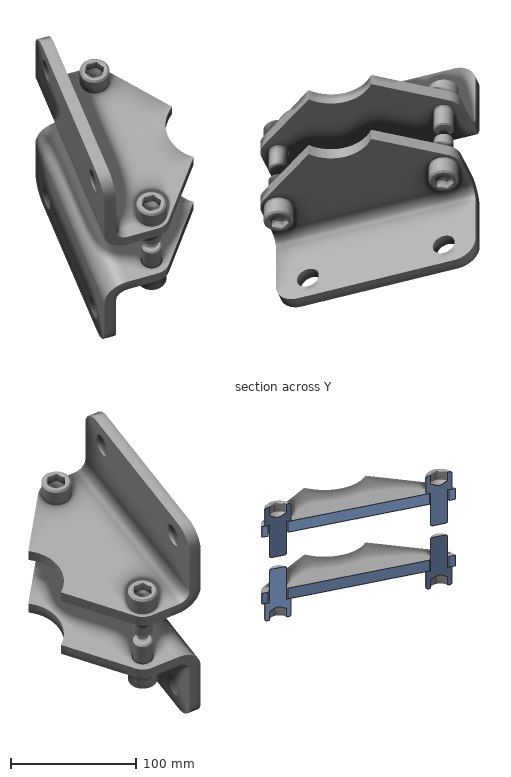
import cadquery as cq
import math

width = 169.0
depth = 95.3
total_height = 210.0
plate_thickness = 10.0
half_gap = 25.0
half_height = total_height / 2
bend_inner_radius = plate_thickness
bend_outer_radius = bend_inner_radius + plate_thickness

flange_corner_radius = 18.3
mount_hole_diameter = 18.5
mount_hole_x = 57.5
mount_hole_z = 85.0

screw_x = 70.0
screw_y = 45.0
ear_radius = width / 2 - screw_x
saddle_half_width = 26.5
saddle_bottom_y = 82.7
screw_hole_diameter = 17.5

shank_diameter = 16.0
shank_length = 30.0
tip_chamfer_height = 1.0
tip_chamfer_width = 1.3
head_diameter = 24.0
head_height = 16.0
head_chamfer = 1.5
head_base_chamfer = 0.5
hex_across_flats = 14.0
hex_across_corners = hex_across_flats / math.cos(math.pi / 6)
hex_depth = 8.0
socket_mouth_diameter = 16.4
socket_cone_slope = math.tan(math.pi / 6)
socket_cone_depth = hex_across_flats / 2 * socket_cone_slope

head_seat_z = half_gap + plate_thickness


def bent_strip():
    """L-shaped section with a rounded bend, extruded across the width."""
    bend_y = bend_outer_radius
    bend_z = half_gap + bend_outer_radius
    inner_offset = bend_inner_radius * math.sqrt(0.5)
    outer_offset = bend_outer_radius * math.sqrt(0.5)
    section = (
        cq.Workplane("YZ", origin=(-width / 2, 0, 0))
        .moveTo(depth, half_gap)
        .lineTo(bend_y, half_gap)
        .threePointArc((bend_y - outer_offset, bend_z - outer_offset), (0, bend_z))
        .lineTo(0, half_height)
        .lineTo(plate_thickness, half_height)
        .lineTo(plate_thickness, bend_z)
        .threePointArc((bend_y - inner_offset, bend_z - inner_offset), (bend_y, head_seat_z))
        .lineTo(depth, head_seat_z)
        .close()
    )
    return section.extrude(width)


def clamp_outline():
    """Plan shape: straight sides, rounded ears, sloping flanks and an arc saddle."""
    reach_x = screw_x - saddle_half_width
    reach_y = depth - screw_y
    flank_slope = math.atan2(reach_y, reach_x) - math.asin(ear_radius / math.hypot(reach_x, reach_y))
    normal_angle = math.pi / 2 - flank_slope

    def ear_point(angle):
        return screw_x + ear_radius * math.cos(angle), screw_y + ear_radius * math.sin(angle)

    def mirrored(point):
        return -point[0], point[1]

    tangent_point = ear_point(normal_angle)
    ear_middle = ear_point(normal_angle / 2)
    ear_start = ear_point(0)
    return (
        cq.Workplane("XY")
        .moveTo(-width / 2, 0)
        .lineTo(width / 2, 0)
        .lineTo(*ear_start)
        .threePointArc(ear_middle, tangent_point)
        .lineTo(saddle_half_width, depth)
        .threePointArc((0, saddle_bottom_y), (-saddle_half_width, depth))
        .lineTo(*mirrored(tangent_point))
        .threePointArc(mirrored(ear_middle), mirrored(ear_start))
        .close()
        .extrude(half_height)
    )


def upper_bracket():
    """Bent plate with its flange on top, trimmed to shape and drilled."""
    bracket = bent_strip().intersect(clamp_outline())
    bracket = bracket.edges("|Y").edges(">Z").fillet(flange_corner_radius)
    mount_holes = (
        cq.Workplane("XZ")
        .pushPoints([(-mount_hole_x, mount_hole_z), (mount_hole_x, mount_hole_z)])
        .circle(mount_hole_diameter / 2)
        .extrude(-plate_thickness)
    )
    screw_holes = (
        cq.Workplane("XY", origin=(0, 0, half_gap))
        .pushPoints([(-screw_x, screw_y), (screw_x, screw_y)])
        .circle(screw_hole_diameter / 2)
        .extrude(plate_thickness)
    )
    return bracket.cut(mount_holes).cut(screw_holes)


def upper_screw(x):
    """Socket head screw pointing down, its head seated on the upper clamp plate."""
    shank_radius = shank_diameter / 2
    head_radius = head_diameter / 2
    hex_floor = head_height - hex_depth
    mouth_radius = socket_mouth_diameter / 2
    mouth_depth = (mouth_radius - hex_across_flats / 2) * socket_cone_slope

    body = (
        cq.Workplane("XZ")
        .moveTo(0, -shank_length)
        .lineTo(shank_radius - tip_chamfer_width, -shank_length)
        .lineTo(shank_radius, tip_chamfer_height - shank_length)
        .lineTo(shank_radius, 0)
        .lineTo(head_radius - head_base_chamfer, 0)
        .lineTo(head_radius, head_base_chamfer)
        .lineTo(head_radius, head_height - head_chamfer)
        .lineTo(head_radius - head_chamfer, head_height)
        .lineTo(0, head_height)
        .close()
        .revolve(360, (0, 0), (0, 1))
    )
    hex_socket = (
        cq.Workplane("XY", origin=(0, 0, hex_floor))
        .transformed(rotate=(0, 0, 30))
        .polygon(6, hex_across_corners)
        .extrude(hex_depth)
    )
    socket_cone = (
        cq.Workplane("XZ")
        .moveTo(0, hex_floor - socket_cone_depth)
        .lineTo(hex_across_flats / 2, hex_floor)
        .lineTo(0, hex_floor)
        .close()
        .revolve(360, (0, 0), (0, 1))
    )
    socket_mouth = (
        cq.Workplane("XZ")
        .moveTo(0, head_height - mouth_depth)
        .lineTo(hex_across_flats / 2, head_height - mouth_depth)
        .lineTo(mouth_radius, head_height)
        .lineTo(0, head_height)
        .close()
        .revolve(360, (0, 0), (0, 1))
    )
    screw = body.cut(hex_socket).cut(socket_cone).cut(socket_mouth)
    return screw.translate((x, screw_y, head_seat_z))


bracket = upper_bracket()
brackets = [bracket, bracket.mirror("XY")]
screws = []
for x in (-screw_x, screw_x):
    screw = upper_screw(x)
    screws += [screw, screw.mirror("XY")]

result = cq.Compound.makeCompound([body.val() for body in brackets + screws])